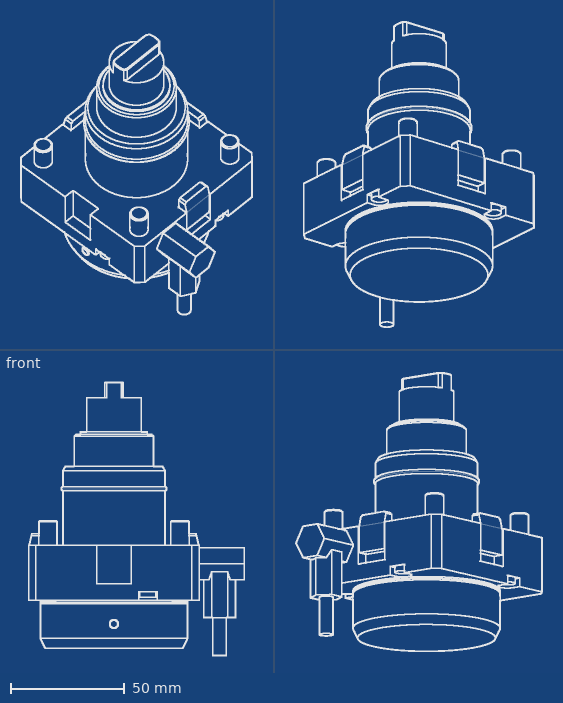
import cadquery as cq
import math


overall_height = 120.2

block_side = 75.0
block_height = 24.3
block_corner = 3.2
half_side = block_side / 2

post_diameter = 8.0
post_height = 10.8
post_offset = 29.0
post_chamfer = 0.54

notch_width = 15.3
notch_depth = 5.0
notch_height = 17.0
clip_width = 14.5
clip_drop = 11.9
clip_rise = 5.0
clip_inset = 0.2
clip_top_inset = 1.5
clip_end_chamfer = 1.0
notch_angles = (0, 90, 180, 270)
clip_angles = (90, 180, 270)

slot_width = 8.0
slot_height = 3.8
slot_offset = 14.9
slot_center_depth = 3.6
lock_pin_diameter = 7.0
lock_pin_gap = 1.3

body_diameter = 45.0
body_top = 58.9
body_chamfer_width = 1.1
body_chamfer_height = 1.9
ring_diameter = 46.4
ring_thickness = 1.9
ring_level = 49.1
collar_diameter = 35.0
collar_top = 73.0
collar_chamfer = 1.0
lip_diameter = 29.5
lip_top = 74.1
shaft_diameter = 24.0
shaft_top = 89.1
shaft_waste_diameter = shaft_diameter + 2.4

tongue_width = 8.0
tongue_top = 96.0
tongue_corner_width = 0.8
tongue_corner_length = 1.6
tongue_top_chamfer = 0.4

cap_diameter = 64.8
flange_disc_height = 0.7
neck_diameter = 51.0
cap_top = -1.5
cap_chamfer_top = -16.7
cap_bottom = -21.0
cap_bottom_diameter = 60.6
set_pin_diameter = 3.8
set_pin_level = -10.3
set_pin_protrusion = 0.5
set_pin_length = 3.6
set_pin_chamfer = 0.2

hexagon_sides = 6
arm_end = 57.4
arm_corner_diameter = 16.4
arm_y = -18.5
arm_level = 16.1
nut_corner_diameter = 14.1
nut_x = 46.4
nut_bottom = -7.6
rod_diameter = 6.0
rod_bottom = tongue_top - overall_height


def cylinder(diameter, bottom, top):
    """Cylinder on the main axis between two levels."""
    return cq.Workplane("XY").workplane(offset=bottom).circle(diameter / 2).extrude(top - bottom)


def around_axis(shape, angle):
    """Turn a shape made for the -Y side about the main axis."""
    return shape.rotate((0, 0, 0), (0, 0, 1), angle)


def make_block():
    plate = cq.Workplane("XY").rect(block_side, block_side).extrude(block_height)
    return plate.edges("|Z").chamfer(block_corner)


def make_posts():
    posts = cq.Workplane("XY").workplane(offset=block_height)
    posts = posts.rect(2 * post_offset, 2 * post_offset, forConstruction=True).vertices()
    posts = posts.circle(post_diameter / 2).extrude(post_height)
    return posts.faces(">Z").edges().chamfer(post_chamfer)


def make_notch():
    center_y = -half_side + notch_depth / 2
    notch = cq.Workplane("XY").workplane(offset=block_height - notch_height).center(0, center_y)
    return notch.rect(notch_width, notch_depth).extrude(notch_height)


def make_clip():
    """Clip with an upright outer face that leans inward above the flange."""
    inner_y = -half_side + notch_depth
    outer_y = -half_side + clip_inset
    bottom = block_height - clip_drop
    top = block_height + clip_rise
    profile = [
        (inner_y, bottom),
        (outer_y, bottom),
        (outer_y, block_height),
        (-half_side + clip_top_inset, top),
        (inner_y, top),
    ]
    clip = cq.Workplane("YZ").polyline(profile).close().extrude(clip_width / 2, both=True)
    return clip.faces(">Z").edges("|Y").chamfer(clip_end_chamfer)


def make_slot():
    """Slot open to the side face and closed by a half round inside."""
    center_y = -half_side + slot_center_depth
    half_width = slot_width / 2
    return (
        cq.Workplane("XY")
        .moveTo(slot_offset - half_width, -half_side)
        .lineTo(slot_offset - half_width, center_y)
        .threePointArc((slot_offset, center_y + half_width), (slot_offset + half_width, center_y))
        .lineTo(slot_offset + half_width, -half_side)
        .close()
        .extrude(slot_height)
    )


def make_lock_pin():
    pin = cq.Workplane("XY").workplane(offset=lock_pin_gap)
    pin = pin.center(slot_offset, -half_side + slot_center_depth)
    return pin.circle(lock_pin_diameter / 2).extrude(slot_height - lock_pin_gap)


def make_spindle():
    """Turned profile of body, collar and lip, with a round ring on the body."""
    body_radius = body_diameter / 2
    collar_radius = collar_diameter / 2
    profile = [
        (0, block_height),
        (body_radius, block_height),
        (body_radius, body_top - body_chamfer_height),
        (body_radius - body_chamfer_width, body_top),
        (collar_radius, body_top),
        (collar_radius, collar_top - collar_chamfer),
        (collar_radius - collar_chamfer, collar_top),
        (lip_diameter / 2, collar_top),
        (lip_diameter / 2, lip_top),
        (0, lip_top),
    ]
    spindle = cq.Workplane("XZ").polyline(profile).close().revolve(360, (0, 0, 0), (0, 1, 0))
    ring_radius = ring_thickness / 2
    ring_center = ring_diameter / 2 - ring_radius
    ring = cq.Workplane("XZ").center(ring_center, ring_level).circle(ring_radius)
    ring = ring.revolve(360, (-ring_center, 0, 0), (-ring_center, 1, 0))
    return spindle.union(ring)


def make_tongue_bar():
    """Eight-sided bar, longer than the shaft is wide, whose slanted sides cut the tongue's corners."""
    half_width = tongue_width / 2
    round_end_x = half_width - tongue_corner_width
    round_end_y = math.sqrt((shaft_diameter / 2) ** 2 - round_end_x**2)
    side_y = round_end_y - tongue_corner_length
    tip_x = half_width - 2 * tongue_corner_width
    tip_y = side_y + 2 * tongue_corner_length
    outline = [
        (half_width, -side_y),
        (half_width, side_y),
        (tip_x, tip_y),
        (-tip_x, tip_y),
        (-half_width, side_y),
        (-half_width, -side_y),
        (-tip_x, -tip_y),
        (tip_x, -tip_y),
    ]
    bar = cq.Workplane("XY").workplane(offset=shaft_top)
    return bar.polyline(outline).close().extrude(tongue_top - shaft_top)


def make_shaft():
    """Shaft whose end is cut down beside the drive tongue."""
    shaft = cylinder(shaft_diameter, lip_top, tongue_top)
    waste = cylinder(shaft_waste_diameter, shaft_top, tongue_top).cut(make_tongue_bar())
    shaft = shaft.cut(waste)
    return shaft.faces(">Z").edges().chamfer(tongue_top_chamfer)


def make_cap():
    cap_radius = cap_diameter / 2
    profile = [
        (0, 0),
        (cap_radius, 0),
        (cap_radius, -flange_disc_height),
        (neck_diameter / 2, -flange_disc_height),
        (neck_diameter / 2, cap_top),
        (cap_radius, cap_top),
        (cap_radius, cap_chamfer_top),
        (cap_bottom_diameter / 2, cap_bottom),
        (0, cap_bottom),
    ]
    return cq.Workplane("XZ").polyline(profile).close().revolve(360, (0, 0, 0), (0, 1, 0))


def make_set_pin():
    outer_y = -cap_diameter / 2 - set_pin_protrusion
    pin = cq.Workplane("XZ", origin=(0, outer_y, set_pin_level))
    pin = pin.circle(set_pin_diameter / 2).extrude(-set_pin_length)
    return pin.faces("<Y").edges().chamfer(set_pin_chamfer)


def make_outlet():
    arm = cq.Workplane("YZ", origin=(half_side, arm_y, arm_level))
    arm = arm.polygon(hexagon_sides, arm_corner_diameter).extrude(arm_end - half_side)
    nut = cq.Workplane("XY", origin=(nut_x, arm_y, nut_bottom))
    nut = nut.polygon(hexagon_sides, nut_corner_diameter).extrude(arm_level - nut_bottom)
    rod = cq.Workplane("XY", origin=(nut_x, arm_y, rod_bottom))
    rod = rod.circle(rod_diameter / 2).extrude(nut_bottom - rod_bottom)
    return arm.union(nut).union(rod)


block = make_block()
for angle in notch_angles:
    block = block.cut(around_axis(make_notch(), angle))
    block = block.cut(around_axis(make_slot(), angle))
    block = block.union(around_axis(make_lock_pin(), angle))
for angle in clip_angles:
    block = block.union(around_axis(make_clip(), angle))

result = block.union(make_posts()).union(make_spindle()).union(make_shaft())
result = result.union(make_cap()).union(make_set_pin()).union(make_outlet())